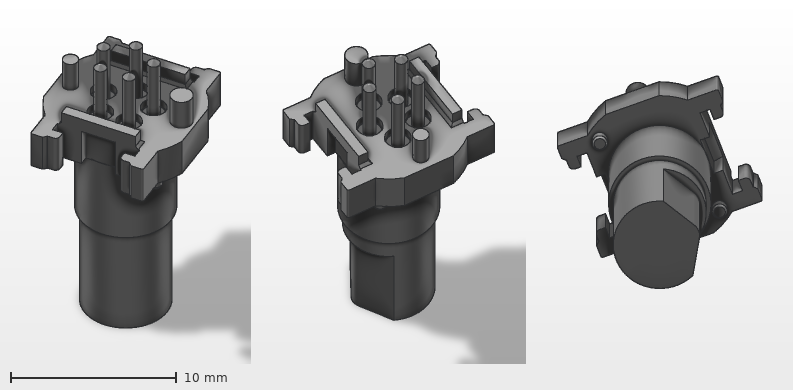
import cadquery as cq
import math

LOWER_LENGTH = 7.3
UPPER_LENGTH = 5.5
PLATE_THICKNESS = 2.5
OVERALL_HEIGHT = 19.1
PLATE_BOTTOM = LOWER_LENGTH + UPPER_LENGTH
PLATE_TOP = PLATE_BOTTOM + PLATE_THICKNESS

LOWER_RADIUS = 2.8
UPPER_RADIUS = 3.1
ROOF_HEIGHT = 5.8
ROOF_PEAK = 2.65
ROOF_SLOPE = math.radians(30)
ROOF_FILLET = 0.9

PLATE_ARC_RADIUS = 5.0
PLATE_HALF_WIDTH = 4.7
PLATE_HALF_DEPTH = 3.65
ARM_OUTER_X = 3.82
ARM_INNER_X = 2.79
OVERALL_DEPTH = 10.4
ARM_TIP_Y = OVERALL_DEPTH / 2
HOOK_TIP_X = 2.08
HOOK_STEP = 0.23
HOOK_THICKNESS = 0.69
ARM_OUTER_FILLET = 0.13
ARM_INNER_CHAMFER = 0.21
HOOK_FILLET = 0.3

RAIL_LENGTH = 5.02
RAIL_THICKNESS = 0.67
RAIL_HEIGHT = 0.95
RAIL_FLARE = 0.2

RECESS_WIDTH = 2.3
RECESS_DEPTH = 0.6
RECESS_ROOF_DROP = 0.3

POST_HEIGHT = 2.0
SMALL_POST_X = -3.75
SMALL_POST_DIAMETER = 1.0
LARGE_POST_X = 3.78
LARGE_POST_DIAMETER = 1.41
PEG_X = 3.32
PEG_Y = 2.62
PEG_DIAMETER = 0.92
PEG_LENGTH = 0.8
PEG_CHAMFER_HEIGHT = 0.2
PEG_CHAMFER_INSET = 0.11

PIN_POSITIONS = [(0, 1.35), (-1.7, 0.38), (1.7, 0.38), (-0.97, -1.47), (0.97, -1.47)]
PIN_RADIUS = 0.4
COLLAR_RADIUS = 0.75
COLLAR_THICKNESS = 0.5
PIN_POINT_HEIGHT = 0.35
WELL_DIAMETER = 1.6
WELL_DEPTH = 0.5
WELL_FLOOR = PLATE_TOP - WELL_DEPTH
COLLAR_BOTTOM = WELL_FLOOR - COLLAR_THICKNESS


def cylinder(x, y, bottom, diameter, height):
    return cq.Workplane("XY", origin=(x, y, bottom)).circle(diameter / 2).extrude(height)


def make_barrel():
    lower = cylinder(0, 0, 0, 2 * LOWER_RADIUS, LOWER_LENGTH)
    upper = cylinder(0, 0, LOWER_LENGTH, 2 * UPPER_RADIUS, UPPER_LENGTH)
    return lower.cut(make_roof_relief()).union(upper)


def make_roof_relief():
    """Material removed from the +Y side of the lower barrel, leaving a rounded ridge."""
    eave_y = ROOF_PEAK - LOWER_RADIUS * math.tan(ROOF_SLOPE)
    tangent_x = ROOF_FILLET * math.sin(ROOF_SLOPE)
    tangent_y = ROOF_PEAK - tangent_x * math.tan(ROOF_SLOPE)
    crest = tangent_y + ROOF_FILLET * (1 - math.cos(ROOF_SLOPE))
    return (
        cq.Workplane("XY")
        .moveTo(-LOWER_RADIUS, eave_y)
        .lineTo(-tangent_x, tangent_y)
        .threePointArc((0, crest), (tangent_x, tangent_y))
        .lineTo(LOWER_RADIUS, eave_y)
        .lineTo(LOWER_RADIUS, LOWER_RADIUS)
        .lineTo(-LOWER_RADIUS, LOWER_RADIUS)
        .close()
        .extrude(ROOF_HEIGHT)
    )


def slab(half_x, half_y):
    return (
        cq.Workplane("XY", origin=(0, 0, PLATE_BOTTOM))
        .rect(2 * half_x, 2 * half_y)
        .extrude(PLATE_THICKNESS)
    )


def make_plate():
    disc = cylinder(0, 0, PLATE_BOTTOM, 2 * PLATE_ARC_RADIUS, PLATE_THICKNESS)
    plate = disc.intersect(slab(PLATE_HALF_WIDTH, PLATE_HALF_DEPTH))
    arm = make_arm()
    for copy in (arm, arm.mirror("YZ")):
        plate = plate.union(copy).union(copy.mirror("XZ"))
    return plate


def make_arm():
    """The arm at +X, +Y with its hook turned inward."""
    hook_outer_y = ARM_TIP_Y - HOOK_STEP
    hook_inner_y = hook_outer_y - HOOK_THICKNESS
    arm = (
        cq.Workplane("XY", origin=(0, 0, PLATE_BOTTOM))
        .moveTo(ARM_INNER_X, 0)
        .lineTo(ARM_OUTER_X, 0)
        .lineTo(ARM_OUTER_X, ARM_TIP_Y)
        .lineTo(ARM_INNER_X, ARM_TIP_Y)
        .lineTo(ARM_INNER_X, hook_outer_y)
        .lineTo(HOOK_TIP_X, hook_outer_y)
        .lineTo(HOOK_TIP_X, hook_inner_y)
        .lineTo(ARM_INNER_X, hook_inner_y)
        .close()
        .extrude(PLATE_THICKNESS)
    )
    arm = arm.edges(upright_edge_at(ARM_OUTER_X, ARM_TIP_Y)).fillet(ARM_OUTER_FILLET)
    arm = arm.edges(upright_edge_at(ARM_INNER_X, ARM_TIP_Y)).chamfer(ARM_INNER_CHAMFER)
    return arm.edges(upright_edge_at(HOOK_TIP_X, hook_outer_y)).fillet(HOOK_FILLET)


def upright_edge_at(x, y):
    """Selector for the plate-high vertical edge at the given corner."""
    return cq.selectors.NearestToPointSelector((x, y, PLATE_BOTTOM + PLATE_THICKNESS / 2))


def make_rail():
    """The rail on the +Y edge, with a sloped foot on its inner side and both ends."""
    outer_y = PLATE_HALF_DEPTH
    bar_y = outer_y - RAIL_THICKNESS / 2
    bar = (
        cq.Workplane("XY", origin=(0, bar_y, PLATE_TOP))
        .rect(RAIL_LENGTH, RAIL_THICKNESS)
        .extrude(RAIL_HEIGHT)
    )
    foot_length = RAIL_LENGTH + 2 * RAIL_FLARE
    foot_thickness = RAIL_THICKNESS + RAIL_FLARE
    foot_y = outer_y - foot_thickness / 2
    foot = (
        cq.Workplane("XY", origin=(0, foot_y, PLATE_TOP))
        .rect(foot_length, foot_thickness)
        .workplane(offset=RAIL_FLARE)
        .center(0, bar_y - foot_y)
        .rect(RAIL_LENGTH, RAIL_THICKNESS)
        .loft(ruled=True)
    )
    return bar.union(foot)


def make_recess():
    """Pocket in the +Y face, open at the bottom, with a ceiling that falls toward its back."""
    back_y = PLATE_HALF_DEPTH - RECESS_DEPTH
    return (
        cq.Workplane("YZ", origin=(-RECESS_WIDTH / 2, 0, 0))
        .moveTo(back_y, PLATE_BOTTOM)
        .lineTo(PLATE_HALF_DEPTH, PLATE_BOTTOM)
        .lineTo(PLATE_HALF_DEPTH, PLATE_TOP)
        .lineTo(back_y, PLATE_TOP - RECESS_ROOF_DROP)
        .close()
        .extrude(RECESS_WIDTH)
    )


def make_peg(x, y):
    return (
        cylinder(x, y, PLATE_BOTTOM - PEG_LENGTH, PEG_DIAMETER, PEG_LENGTH)
        .faces("<Z")
        .chamfer(PEG_CHAMFER_HEIGHT, PEG_CHAMFER_INSET)
    )


def make_housing():
    housing = make_barrel().union(make_plate())
    rail = make_rail()
    recess = make_recess()
    housing = housing.union(rail).union(rail.mirror("XZ"))
    housing = housing.cut(recess).cut(recess.mirror("XZ"))
    housing = housing.union(cylinder(SMALL_POST_X, 0, PLATE_TOP, SMALL_POST_DIAMETER, POST_HEIGHT))
    housing = housing.union(cylinder(LARGE_POST_X, 0, PLATE_TOP, LARGE_POST_DIAMETER, POST_HEIGHT))
    housing = housing.union(make_peg(-PEG_X, PEG_Y)).union(make_peg(PEG_X, -PEG_Y))
    for x, y in PIN_POSITIONS:
        housing = housing.cut(cylinder(x, y, WELL_FLOOR, WELL_DIAMETER, WELL_DEPTH))
        housing = housing.cut(cylinder(x, y, COLLAR_BOTTOM, 2 * COLLAR_RADIUS, COLLAR_THICKNESS))
    return housing


def make_pin(x, y):
    """A round pin with a conical point; its collar is sunk flush into the floor of its well."""
    length = OVERALL_HEIGHT - COLLAR_BOTTOM
    return (
        cq.Workplane("XZ")
        .lineTo(COLLAR_RADIUS, 0)
        .lineTo(COLLAR_RADIUS, COLLAR_THICKNESS)
        .lineTo(PIN_RADIUS, COLLAR_THICKNESS)
        .lineTo(PIN_RADIUS, length - PIN_POINT_HEIGHT)
        .lineTo(0, length)
        .close()
        .revolve(360, (0, 0, 0), (0, 1, 0))
        .translate((x, y, COLLAR_BOTTOM))
    )


housing = make_housing()
pins = [make_pin(x, y) for x, y in PIN_POSITIONS]

result = cq.Compound.makeCompound([housing.val(), *[pin.val() for pin in pins]])